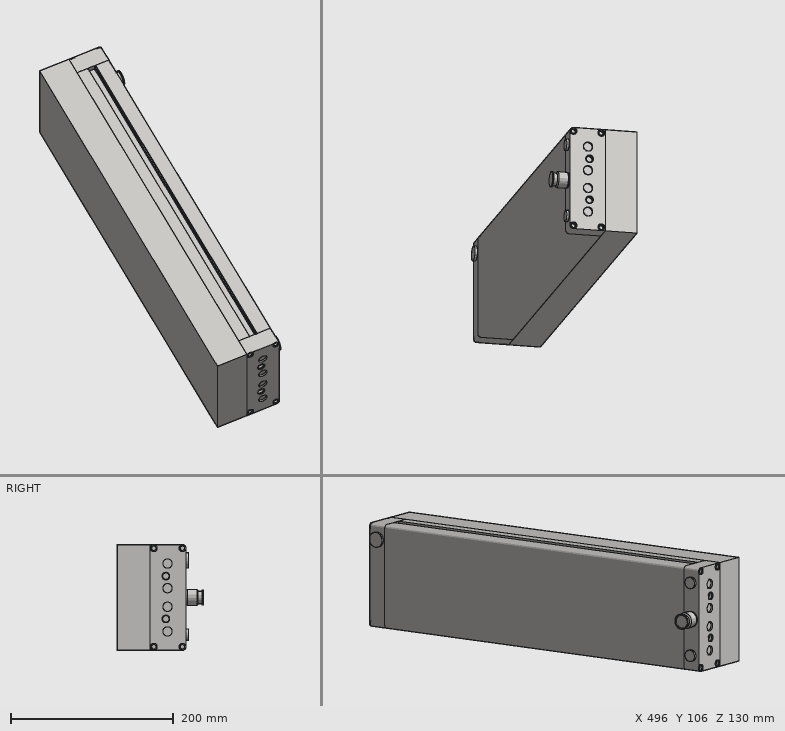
import cadquery as cq

LENGTH = 496.0
HEIGHT = 130.0
PAD_DEPTH = 40.0
BODY_DEPTH = 44.5
BACK_Y = PAD_DEPTH + BODY_DEPTH
CAP_WIDTH = 23.0
CAP_CENTER_X = (LENGTH - CAP_WIDTH) / 2
EDGE_RADIUS = 4.5

GROOVE_INSET = 15.0
GROOVE_FRONT_Y = PAD_DEPTH + GROOVE_INSET
GROOVE_WIDTH = 9.0
GROOVE_DEPTH = 7.0
LEDGE_WIDTH = 1.5
LEDGE_DEPTH = 2.5

PORT_DIAMETER = 11.5
PORT_DEPTH = 2.5
PORT_INSET = 23.0
PORT_Y = BACK_Y - PORT_INSET
PORT_HEIGHTS = [11.5, 41.5]
PLUG_DIAMETER = 9.5
PLUG_BORE_DIAMETER = 8.0
PLUG_STEP_DEPTH = 1.5
PLUG_DEPTH = 5.0
PLUG_INSET = 25.0
PLUG_Y = BACK_Y - PLUG_INSET
PLUG_HEIGHT = 26.5

SCREW_INSET = 4.5
FRONT_SCREW_INSET = 5.0
SCREW_DIAMETER = 8.5
SCREW_DEPTH = 1.0
SOCKET_DIAMETER = 5.5
SOCKET_DEPTH = 4.0
SCREW_YS = [PAD_DEPTH + FRONT_SCREW_INSET, BACK_Y - SCREW_INSET]
SCREW_HEIGHT = HEIGHT / 2 - SCREW_INSET

LEFT_FITTING_INSET = 12.0
LEFT_FITTING_X = LEFT_FITTING_INSET - LENGTH / 2

CONNECTOR_LENGTH = 21.5
COLLAR_RADIUS = 9.5
COLLAR_LENGTH = 1.5
BARREL_RADIUS = 10.0
BARREL_LENGTH = 12.0
TAPER_LENGTH = 1.5
NECK_RADIUS = 8.0
FLANGE_RADIUS = 9.5
FLANGE_THICKNESS = 1.5

BUTTON_HEIGHT = 3.0
BUTTON_Z = 45.5
SMALL_BUTTON_DIAMETER = 14.5
LARGE_BUTTON_DIAMETER = 19.0


def rounded_block(width):
    """Block behind the pad, centred on X, with its two long back edges rounded."""
    block = cq.Workplane("XY").box(width, BODY_DEPTH, HEIGHT)
    return block.edges("|X and >Y").fillet(EDGE_RADIUS).translate((0, PAD_DEPTH + BODY_DEPTH / 2, 0))


def make_pad():
    return cq.Workplane("XY").box(LENGTH, PAD_DEPTH, HEIGHT).translate((0, PAD_DEPTH / 2, 0))


def make_profile():
    profile_length = LENGTH - 2 * CAP_WIDTH
    top = HEIGHT / 2
    back = GROOVE_FRONT_Y + GROOVE_WIDTH
    groove = (
        cq.Workplane("YZ")
        .moveTo(GROOVE_FRONT_Y, top)
        .lineTo(GROOVE_FRONT_Y, top - GROOVE_DEPTH)
        .lineTo(back, top - GROOVE_DEPTH)
        .lineTo(back, top - LEDGE_DEPTH)
        .lineTo(back + LEDGE_WIDTH, top - LEDGE_DEPTH)
        .lineTo(back + LEDGE_WIDTH, top)
        .close()
        .extrude(profile_length / 2, both=True)
    )
    return rounded_block(profile_length).cut(groove)


def end_holes(points, diameter, depth):
    """Blind holes at (y, z) points, entering along X from the left end of the block."""
    return cq.Workplane("YZ", origin=(-LENGTH / 2, 0, 0)).pushPoints(points).circle(diameter / 2).extrude(depth)


def make_plain_cap():
    """Left-hand end cap with the holes of its end face."""
    port_points = [(PORT_Y, side * z) for z in PORT_HEIGHTS for side in (-1, 1)]
    plug_points = [(PLUG_Y, side * PLUG_HEIGHT) for side in (-1, 1)]
    screw_points = [(y, side * SCREW_HEIGHT) for y in SCREW_YS for side in (-1, 1)]
    return (
        rounded_block(CAP_WIDTH)
        .translate((-CAP_CENTER_X, 0, 0))
        .cut(end_holes(port_points, PORT_DIAMETER, PORT_DEPTH))
        .cut(end_holes(plug_points, PLUG_DIAMETER, PLUG_STEP_DEPTH))
        .cut(end_holes(plug_points, PLUG_BORE_DIAMETER, PLUG_DEPTH))
        .cut(end_holes(screw_points, SCREW_DIAMETER, SCREW_DEPTH))
        .cut(end_holes(screw_points, SOCKET_DIAMETER, SOCKET_DEPTH))
    )


def make_connector():
    """Turned connector standing on the back face, built about the Y axis."""
    barrel_end = COLLAR_LENGTH + BARREL_LENGTH
    taper_end = barrel_end + TAPER_LENGTH
    flange_start = CONNECTOR_LENGTH - FLANGE_THICKNESS
    return (
        cq.Workplane("XY")
        .lineTo(COLLAR_RADIUS, 0)
        .lineTo(COLLAR_RADIUS, COLLAR_LENGTH)
        .lineTo(BARREL_RADIUS, COLLAR_LENGTH)
        .lineTo(BARREL_RADIUS, barrel_end)
        .lineTo(NECK_RADIUS, taper_end)
        .lineTo(NECK_RADIUS, flange_start)
        .lineTo(FLANGE_RADIUS, flange_start)
        .lineTo(FLANGE_RADIUS, CONNECTOR_LENGTH)
        .lineTo(0, CONNECTOR_LENGTH)
        .close()
        .revolve(360, (0, 0), (0, 1))
        .translate((LEFT_FITTING_X, BACK_Y, 0))
    )


def make_button(diameter, x, z):
    """Disc standing on the back face of a cap."""
    return cq.Workplane("XZ", origin=(x, BACK_Y, z)).circle(diameter / 2).extrude(-BUTTON_HEIGHT)


def make_left_cap():
    cap = make_plain_cap().union(make_connector())
    for z in (-BUTTON_Z, BUTTON_Z):
        cap = cap.union(make_button(SMALL_BUTTON_DIAMETER, LEFT_FITTING_X, z))
    return cap


def make_right_cap():
    return make_plain_cap().mirror("YZ").union(make_button(LARGE_BUTTON_DIAMETER, CAP_CENTER_X, BUTTON_Z))


pad = make_pad()
profile = make_profile()
left_cap = make_left_cap()
right_cap = make_right_cap()

result = cq.Compound.makeCompound([pad.val(), profile.val(), left_cap.val(), right_cap.val()])